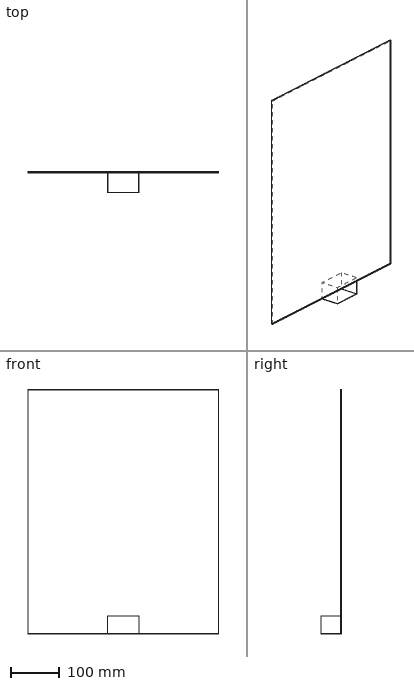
import cadquery as cq

panel_width = 390.0
panel_height = 499.0
panel_thickness = 3.0

overall_depth = 43.0
block_width = 64.0
block_height = 36.5
block_depth = overall_depth - panel_thickness


def make_panel():
    """Thin rectangular panel, centred on X and standing on Z = 0."""
    return cq.Workplane("XY").box(
        panel_width, panel_thickness, panel_height, centered=(True, False, False)
    )


def make_block():
    """Rectangular block whose back face touches the front of the panel."""
    block = cq.Workplane("XY").box(
        block_width, block_depth, block_height, centered=(True, False, False)
    )
    return block.translate((0, -block_depth, 0))


panel = make_panel()
block = make_block()

result = cq.Compound.makeCompound([panel.val(), block.val()])